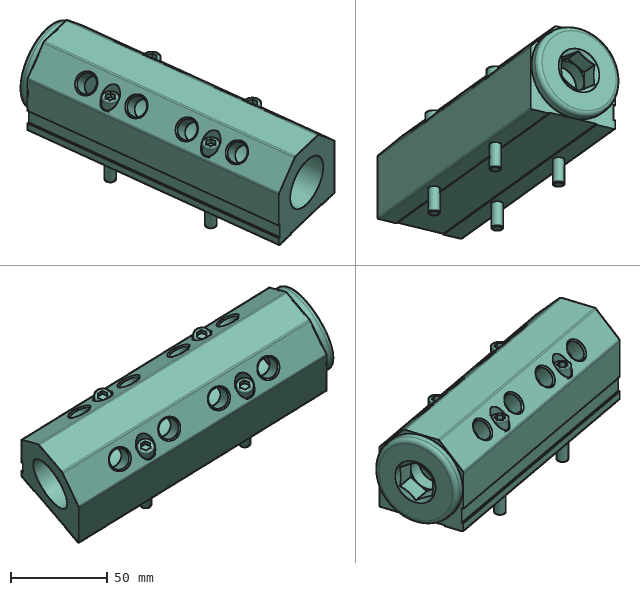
import cadquery as cq
import math

overall_length = 164.8
half_width = 25.4

flange_thickness = 6.1
corner_radius = 1.3
foot_radius = 0.8
groove_depth = 1.0
groove_top_z = -11.5
groove_bottom_z = -20.3
relief_depth = 0.5
relief_half_width = 14.0
bore_radius = 15.0

port_radius = 5.6
port_rim_radius = 6.5
port_offset = 15.8

screw_pitch = 63.5
first_screw_x = 53.9
screw_y = 19.0
screw_end_z = -39.5
head_top_z = 17.5
head_height = 6.0
head_radius = 4.6
head_edge_radius = 0.5
shank_radius = 3.1
shank_chamfer = 0.5
key_width = 5.0
key_depth = 3.0
head_pocket_radius = 5.1

flange_radius = 24.9
flange_edge_radius = 2.6
plug_length = 24.7
socket_width = 19.5
socket_depth = 11.5
socket_mouth_radius = 12.2
socket_mouth_depth = 1.5
relief_hole_depth = 19.8

housing_length = overall_length - flange_thickness
octagon_corner = half_width * math.tan(math.radians(22.5))
head_seat_z = head_top_z - head_height
screw_xs = [first_screw_x, first_screw_x + screw_pitch]
screw_places = [(x, side * screw_y) for x in screw_xs for side in (-1, 1)]


def x_cylinder(radius, start_x, length):
    """Cylinder on the bore axis."""
    return cq.Workplane("YZ", origin=(start_x, 0, 0)).circle(radius).extrude(length)


def z_cylinder(x, y, radius, bottom_z, top_z):
    """Vertical cylinder centred at (x, y)."""
    return cq.Workplane("XY", origin=(x, y, bottom_z)).circle(radius).extrude(top_z - bottom_z)


def hexagon_circle(width):
    """Diameter through the corners of a hexagon of the given width across flats."""
    return width / math.cos(math.radians(30))


def make_profile_block():
    """Square bar whose upper corners are cut as on a regular octagon, with rounded long edges."""
    outline = [
        (-half_width, -half_width),
        (half_width, -half_width),
        (half_width, octagon_corner),
        (octagon_corner, half_width),
        (-octagon_corner, half_width),
        (-half_width, octagon_corner),
    ]
    block = (
        cq.Workplane("YZ", origin=(flange_thickness, 0, 0))
        .polyline(outline)
        .close()
        .extrude(housing_length)
    )
    block = block.edges("|X and (not <Z)").fillet(corner_radius)
    return block.edges("|X and <Z").fillet(foot_radius)


def make_long_cut(y_min, y_max, z_min, z_max):
    """Rectangular cutter running the whole length of the housing."""
    return (
        cq.Workplane("YZ", origin=(flange_thickness, 0, 0))
        .center((y_min + y_max) / 2, (z_min + z_max) / 2)
        .rect(y_max - y_min, z_max - z_min)
        .extrude(housing_length)
    )


def make_port(x, side):
    """Countersunk radial hole from a sloping face to the bore axis."""
    rim_depth = port_rim_radius - port_radius
    axis_plane = cq.Plane(origin=(x, 0, 0), xDir=(1, 0, 0), normal=(0, side, 1))
    hole = cq.Workplane(axis_plane).circle(port_radius).extrude(half_width)
    rim = (
        cq.Workplane(axis_plane)
        .workplane(offset=half_width - rim_depth)
        .circle(port_radius)
        .workplane(offset=rim_depth)
        .circle(port_rim_radius)
        .loft()
    )
    return hole.union(rim)


def make_housing():
    housing = make_profile_block()
    housing = housing.cut(
        make_long_cut(-half_width, -half_width + groove_depth, groove_bottom_z, groove_top_z)
    )
    housing = housing.cut(
        make_long_cut(-relief_half_width, relief_half_width, -half_width, -half_width + relief_depth)
    )
    housing = housing.cut(x_cylinder(bore_radius, flange_thickness, housing_length))
    for screw_x in screw_xs:
        for x in (screw_x - port_offset, screw_x + port_offset):
            for side in (-1, 1):
                housing = housing.cut(make_port(x, side))
    for x, y in screw_places:
        housing = housing.cut(z_cylinder(x, y, head_pocket_radius, head_seat_z, half_width))
        housing = housing.cut(z_cylinder(x, y, shank_radius, -half_width, head_seat_z))
    return housing


def make_plug():
    """Flanged plug with a shank in the bore and a hexagon socket with a conical mouth."""
    plug = x_cylinder(flange_radius, 0, flange_thickness)
    plug = plug.faces("<X").edges().fillet(flange_edge_radius)
    plug = plug.union(x_cylinder(bore_radius, flange_thickness, plug_length - flange_thickness))
    socket = (
        cq.Workplane("YZ")
        .transformed(rotate=(0, 0, 90))
        .polygon(6, hexagon_circle(socket_width))
        .extrude(socket_depth)
    )
    mouth = (
        cq.Workplane("YZ")
        .circle(socket_mouth_radius)
        .workplane(offset=socket_mouth_depth)
        .circle(socket_width / 2)
        .loft()
    )
    relief_hole = x_cylinder(socket_width / 2, 0, relief_hole_depth)
    return plug.cut(socket).cut(mouth).cut(relief_hole)


def make_screw(x, y):
    """Socket head cap screw pointing down."""
    head = z_cylinder(x, y, head_radius, head_seat_z, head_top_z)
    head = head.faces(">Z").edges().fillet(head_edge_radius)
    shank = z_cylinder(x, y, shank_radius, screw_end_z, head_seat_z)
    shank = shank.faces("<Z").edges().chamfer(shank_chamfer)
    key = (
        cq.Workplane("XY", origin=(x, y, head_top_z - key_depth))
        .polygon(6, hexagon_circle(key_width))
        .extrude(key_depth)
    )
    return head.union(shank).cut(key)


housing = make_housing()
plug = make_plug()
screws = [make_screw(x, y) for x, y in screw_places]

result = cq.Compound.makeCompound([housing.val(), plug.val(), *[screw.val() for screw in screws]])